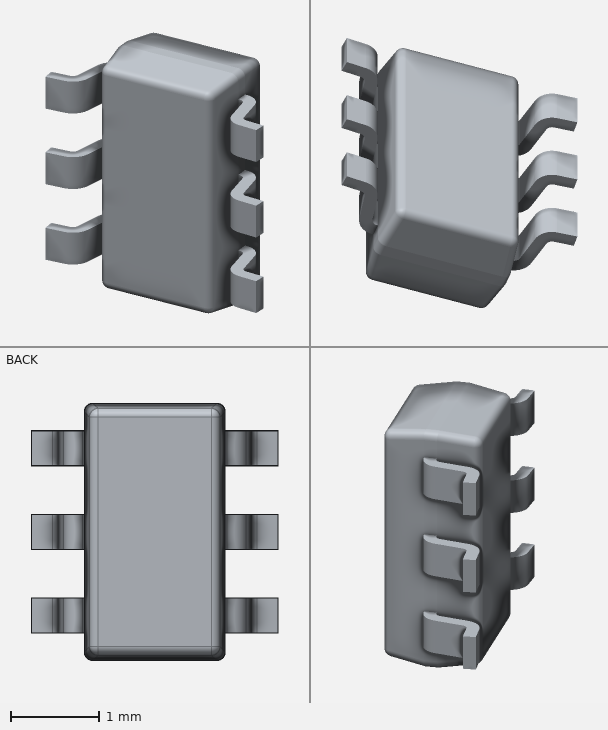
import cadquery as cq
import math

HOUSING_WIDTH = 1.6
HOUSING_DEPTH = 1.15
HOUSING_HEIGHT = 2.92
HOUSING_TAPER = 8.0
HOUSING_FILLET = 0.1

LEAD_THICKNESS = 0.15
LEAD_WIDTH = 0.4
LEAD_PITCH = 0.95
LEADS_PER_SIDE = 3
LEAD_SPAN = 2.8
STANDOFF = 0.1
STUB_LENGTH = 0.018
INNER_RADIUS = 0.073
WALL_ANGLE = 80.0
FOOT_ANGLE = 4.0

OUTER_RADIUS = INNER_RADIUS + LEAD_THICKNESS


def make_housing():
    """Block tapering away from its middle band, rounded on all outer edges."""
    half_band = LEAD_THICKNESS / 2
    half_depth = HOUSING_DEPTH / 2 - half_band

    def section(y, depth, taper=0):
        return (
            cq.Workplane("XZ", origin=(0, y, 0))
            .rect(HOUSING_WIDTH, HOUSING_HEIGHT)
            .extrude(depth, taper=taper)
        )

    band = section(half_band, LEAD_THICKNESS)
    front_half = section(-half_band, half_depth, HOUSING_TAPER)
    back_half = front_half.mirror("XZ")
    block = band.union(front_half).union(back_half)

    end_faces = block.faces("<Y or >Y").edges()
    corners = block.edges("not #Y")
    return block.newObject(end_faces.vals() + corners.vals()).edges().fillet(HOUSING_FILLET)


def polar(center, radius, degrees):
    """Point at a radius from the center, at an angle measured from +Y toward +X."""
    angle = math.radians(degrees)
    return (center[0] + radius * math.sin(angle), center[1] + radius * math.cos(angle))


def make_lead():
    """Right-hand lead centred on Z = 0: stub, shoulder bend, sloping wall, foot bend, foot."""
    wall = math.radians(WALL_ANGLE)
    foot = math.radians(FOOT_ANGLE)
    mean_radius = INNER_RADIUS + LEAD_THICKNESS / 2
    shoulder = (HOUSING_WIDTH / 2 + STUB_LENGTH, -mean_radius)

    toe_x = LEAD_SPAN / 2
    toe_y = -HOUSING_DEPTH / 2 - STANDOFF

    normal_end = polar(shoulder, 2 * mean_radius, WALL_ANGLE)
    reach = toe_x - normal_end[0] + INNER_RADIUS * math.sin(foot)
    drop = normal_end[1] - OUTER_RADIUS * math.cos(foot) - toe_y
    wall_length = (reach * math.sin(foot) - drop * math.cos(foot)) / math.sin(foot - wall)
    foot_length = (drop * math.cos(wall) - reach * math.sin(wall)) / math.sin(foot - wall)

    foot_bend = polar(normal_end, wall_length, WALL_ANGLE + 90)
    mid_shoulder = WALL_ANGLE / 2
    mid_foot = (WALL_ANGLE + FOOT_ANGLE) / 2
    foot_inner = polar(foot_bend, -INNER_RADIUS, FOOT_ANGLE)
    foot_outer = polar(foot_bend, -OUTER_RADIUS, FOOT_ANGLE)
    wall_top_outer = polar(shoulder, OUTER_RADIUS, WALL_ANGLE)
    wall_end_outer = polar(foot_bend, -OUTER_RADIUS, WALL_ANGLE)
    half_thickness = LEAD_THICKNESS / 2

    return (
        cq.Workplane("XY", origin=(0, 0, -LEAD_WIDTH / 2))
        .moveTo(HOUSING_WIDTH / 2, half_thickness)
        .lineTo(shoulder[0], half_thickness)
        .threePointArc(polar(shoulder, OUTER_RADIUS, mid_shoulder), wall_top_outer)
        .lineTo(*polar(foot_bend, -INNER_RADIUS, WALL_ANGLE))
        .threePointArc(polar(foot_bend, -INNER_RADIUS, mid_foot), foot_inner)
        .lineTo(*polar(foot_inner, foot_length, FOOT_ANGLE + 90))
        .lineTo(*polar(foot_outer, foot_length, FOOT_ANGLE + 90))
        .lineTo(*foot_outer)
        .threePointArc(polar(foot_bend, -OUTER_RADIUS, mid_foot), wall_end_outer)
        .lineTo(*polar(shoulder, INNER_RADIUS, WALL_ANGLE))
        .threePointArc(polar(shoulder, INNER_RADIUS, mid_shoulder), (shoulder[0], -half_thickness))
        .lineTo(HOUSING_WIDTH / 2, -half_thickness)
        .close()
        .extrude(LEAD_WIDTH)
    )


housing = make_housing()

right_lead = make_lead()
left_lead = right_lead.mirror("YZ")
leads = []
for side in (right_lead, left_lead):
    for index in range(LEADS_PER_SIDE):
        height = (index - (LEADS_PER_SIDE - 1) / 2) * LEAD_PITCH
        leads.append(side.translate((0, 0, height)).val())

result = cq.Compound.makeCompound([housing.val(), *leads])